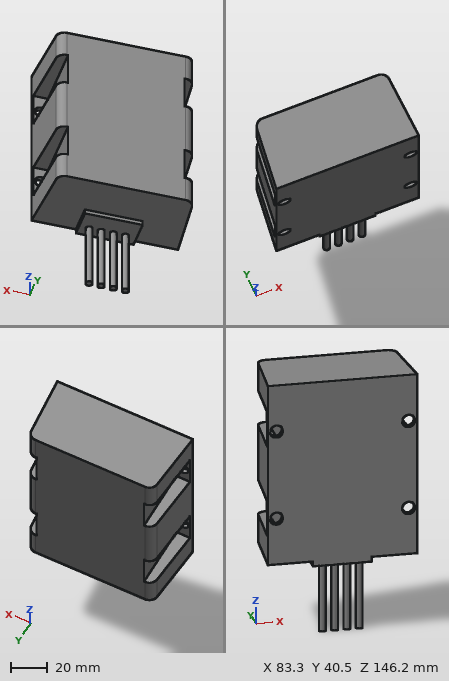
import cadquery as cq

total_height = 146.2
width = 83.3
depth = 40.5

housing_height = 103.8
back_width = 76.6
back_corner_radius = 5.0

flange_thickness = 2.9
recess_depth = 8.6
recess_height = 19.9
recess_spacing_z = 51.8

hole_diameter = 7.0
hole_spacing_x = 73.7
hole_spacing_z = 50.5
lower_hole_z = 26.6

block_width = 32.7
block_depth = 17.1
block_height = 2.8

lead_count = 4
lead_diameter = 3.8
lead_pitch = 6.9
lead_row_x = 0.3
lead_y = 5.7

front_edge = width / 2
back_edge = back_width / 2
hole_levels = (lower_hole_z, lower_hole_z + hole_spacing_z)
recess_levels = (
    (housing_height - recess_spacing_z) / 2,
    (housing_height + recess_spacing_z) / 2,
)
lead_length = total_height - housing_height - block_height


def make_housing():
    outline = [(-front_edge, 0), (front_edge, 0), (back_edge, depth), (-back_edge, depth)]
    housing = cq.Workplane("XY").polyline(outline).close().extrude(housing_height)
    return housing.edges("|Z").edges(">Y").fillet(back_corner_radius)


def make_recess(side, level):
    center_x = side * (front_edge - recess_depth / 2)
    return (
        cq.Workplane("XY")
        .box(recess_depth, depth, recess_height, centered=(True, False, True))
        .translate((center_x, flange_thickness, level))
    )


def make_hole(side, level):
    return (
        cq.Workplane("XZ", origin=(side * hole_spacing_x / 2, 0, level))
        .circle(hole_diameter / 2)
        .extrude(-flange_thickness)
    )


def make_lead_block():
    return (
        cq.Workplane("XY")
        .box(block_width, block_depth, block_height, centered=(True, False, False))
        .translate((0, 0, -block_height))
    )


def make_leads():
    return (
        cq.Workplane("XY", origin=(lead_row_x, lead_y, -block_height))
        .rarray(lead_pitch, 1.5, lead_count, 1)
        .circle(lead_diameter / 2)
        .extrude(-lead_length)
    )


result = make_housing()
for side in (-1, 1):
    for level in recess_levels:
        result = result.cut(make_recess(side, level))
    for level in hole_levels:
        result = result.cut(make_hole(side, level))
result = result.union(make_lead_block()).union(make_leads())